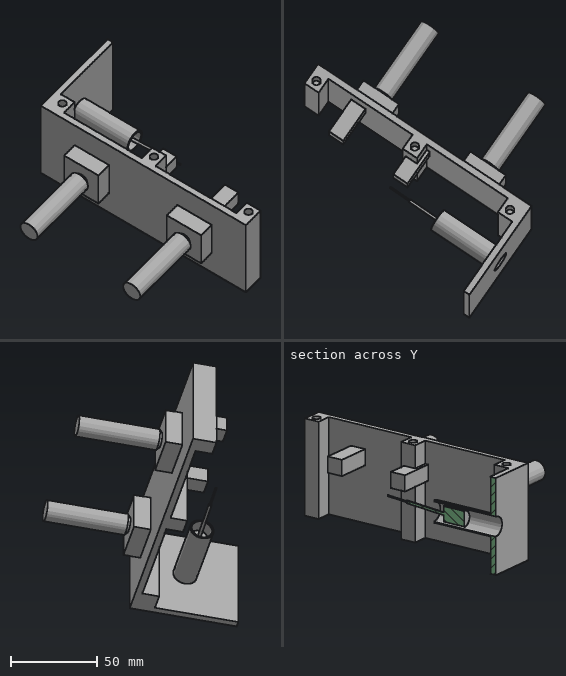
import cadquery as cq

LENGTH = 150.0
HEIGHT = 60.0
END_PLATE_DEPTH = 64.0
FACE_THICKNESS = 4.0
END_THICKNESS = 4.0
MID_HEIGHT = HEIGHT / 2

LUG_SIZE = 10.0
LUG_HOLE_DIAMETER = 5.0
LUG_HOLE_DEPTH = 10.0
LUG_HOLE_Y = FACE_THICKNESS + LUG_SIZE / 2
LUG_CENTRES_X = (END_THICKNESS + LUG_SIZE / 2, 75.9, LENGTH - LUG_SIZE / 2)

POST_SIZE = 10.0
POST_END_Y = 27.0
POST_TOP_Z = 45.8
POST_CENTRES_X = (73.8, 119.0)

PAD_SIZE = 25.0
PAD_THICKNESS = 10.0
PAD_CENTRES_X = (LENGTH / 4, LENGTH * 3 / 4)

HANDLE_DIAMETER = 12.6
HANDLE_LENGTH = 50.0
HANDLE_CHAMFER = 1.8

BARREL_DIAMETER = 14.1
BARREL_LENGTH = 40.2
BARREL_END_X = END_THICKNESS + BARREL_LENGTH
BARREL_Y = END_PLATE_DEPTH / 2
BORE_DIAMETER = 12.2

PISTON_DIAMETER = 9.9
PISTON_LENGTH = 15.0
PISTON_FRONT_X = 37.5
NEEDLE_DIAMETER = 2.0
NEEDLE_END_X = 63.9
TIP_DIAMETER = 0.9
TIP_END_X = 77.5
NEEDLE_TILT = 4.0


def block(x_min, x_max, y_min, y_max, z_min, z_max):
    """Box given by its limits along each axis."""
    size = (x_max - x_min, y_max - y_min, z_max - z_min)
    return cq.Workplane("XY").box(*size, centered=False).translate((x_min, y_min, z_min))


def centred_block(x_centre, z_centre, width, y_min, y_max, height):
    """Box centred on x_centre and z_centre."""
    half_width = width / 2
    half_height = height / 2
    return block(
        x_centre - half_width, x_centre + half_width,
        y_min, y_max,
        z_centre - half_height, z_centre + half_height,
    )


def rod_along_x(diameter, x_start, x_end):
    """Round rod on the barrel axis."""
    plane = cq.Workplane("YZ", origin=(x_start, BARREL_Y, MID_HEIGHT))
    return plane.circle(diameter / 2).extrude(x_end - x_start)


def make_bracket():
    face_plate = block(0, LENGTH, 0, FACE_THICKNESS, 0, HEIGHT)
    end_plate = block(0, END_THICKNESS, 0, END_PLATE_DEPTH, 0, HEIGHT)
    bracket = face_plate.union(end_plate)

    for x in LUG_CENTRES_X:
        lug = centred_block(x, MID_HEIGHT, LUG_SIZE, 0, FACE_THICKNESS + LUG_SIZE, HEIGHT)
        bracket = bracket.union(lug)
    for x in POST_CENTRES_X:
        post = centred_block(x, POST_TOP_Z - POST_SIZE / 2, POST_SIZE, 0, POST_END_Y, POST_SIZE)
        bracket = bracket.union(post)
    for x in PAD_CENTRES_X:
        pad = centred_block(x, MID_HEIGHT, PAD_SIZE, -PAD_THICKNESS, FACE_THICKNESS, PAD_SIZE)
        bracket = bracket.union(pad)
    bracket = bracket.union(rod_along_x(BARREL_DIAMETER, 0, BARREL_END_X))

    hole_points = [(x, LUG_HOLE_Y) for x in LUG_CENTRES_X]
    lug_tops = cq.Workplane("XY", origin=(0, 0, HEIGHT)).pushPoints(hole_points)
    screw_holes = lug_tops.circle(LUG_HOLE_DIAMETER / 2).extrude(-LUG_HOLE_DEPTH)
    return bracket.cut(screw_holes).cut(rod_along_x(BORE_DIAMETER, 0, BARREL_END_X))


def make_handle(x):
    """Round handle pointing to -Y, chamfered where it stands on its pad."""
    plane = cq.Workplane("XZ", origin=(x, -PAD_THICKNESS, MID_HEIGHT))
    handle = plane.circle(HANDLE_DIAMETER / 2).extrude(HANDLE_LENGTH)
    return handle.faces(">Y").chamfer(HANDLE_CHAMFER)


def make_plunger():
    """Piston square to the bore, with a needle that leaves its front face tilted slightly upward."""
    piston = rod_along_x(PISTON_DIAMETER, PISTON_FRONT_X - PISTON_LENGTH, PISTON_FRONT_X)
    root_x = PISTON_FRONT_X - PISTON_LENGTH / 2
    needle = rod_along_x(NEEDLE_DIAMETER, root_x, NEEDLE_END_X)
    tip = rod_along_x(TIP_DIAMETER, root_x, TIP_END_X)
    needle = needle.union(tip)
    axis_start = (PISTON_FRONT_X, BARREL_Y, MID_HEIGHT)
    axis_end = (PISTON_FRONT_X, BARREL_Y + 1.5, MID_HEIGHT)
    return piston.union(needle.rotate(axis_start, axis_end, -NEEDLE_TILT))


bracket = make_bracket()
handles = [make_handle(x) for x in PAD_CENTRES_X]
plunger = make_plunger()

result = cq.Compound.makeCompound([
    bracket.val(),
    *[handle.val() for handle in handles],
    plunger.val(),
])